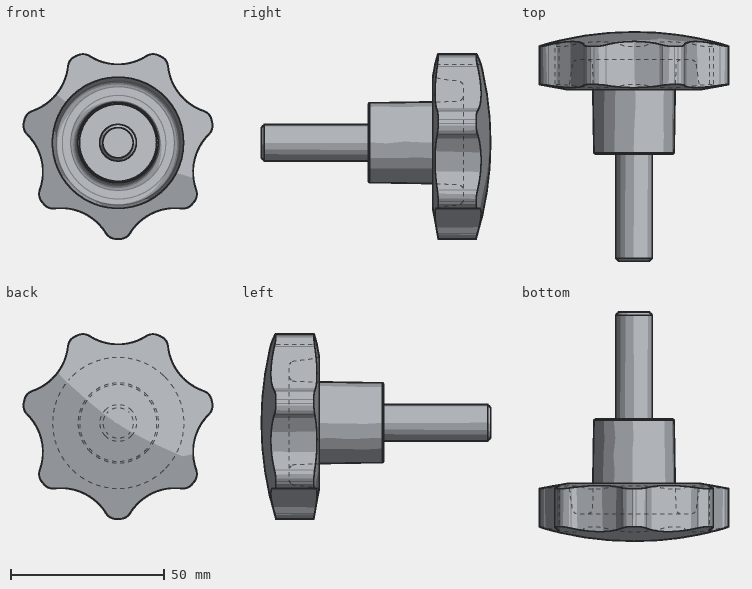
import cadquery as cq
import math

LENGTH = 75.0

LOBES = 7
HEAD_R = 31.5
HEAD_HEIGHT = 19.0
CROWN_SAG = 4.8
UNDERSIDE_RISE = 1.8

NOTCH_R = 17.25
NOTCH_FLOOR_R = 25.65
LOBE_FILLET = 4.0

RECESS_MOUTH_R = 21.45
RECESS_WALL_R = 20.0
RECESS_DEPTH = 10.0
RECESS_FILLET = 1.95

HUB_END_R = 13.1
HUB_ROOT_R = 13.65
HUB_END_DEPTH = 40.05
HUB_CHAMFER = 0.5

STUD_R = 6.0
STUD_CHAMFER = 1.05

mouth_y = LENGTH - HEAD_HEIGHT
floor_y = mouth_y + RECESS_DEPTH
hub_end_y = LENGTH - HUB_END_DEPTH
crown_rim_y = LENGTH - CROWN_SAG
under_rim_y = mouth_y + UNDERSIDE_RISE


def revolve_about_y(profile):
    return profile.close().revolve(360, (0, 0, 0), (0, 1, 0))


def make_head():
    """Domed disc with a conical underside and the annular recess."""
    crown_r = (HEAD_R**2 + CROWN_SAG**2) / (2 * CROWN_SAG)
    mid_r = HEAD_R / 2
    mid_y = LENGTH - crown_r + math.sqrt(crown_r**2 - mid_r**2)
    return revolve_about_y(
        cq.Workplane("XY")
        .moveTo(0, LENGTH)
        .threePointArc((mid_r, mid_y), (HEAD_R, crown_rim_y))
        .lineTo(HEAD_R, under_rim_y)
        .lineTo(RECESS_MOUTH_R, mouth_y)
        .lineTo(RECESS_WALL_R, floor_y)
        .lineTo(0, floor_y)
    )


def cut_notches(head):
    """Cut the notches, then round the lobe corners they leave."""
    centre_r = NOTCH_FLOOR_R + NOTCH_R
    notches = (
        cq.Workplane("XZ")
        .polarArray(centre_r, 90, 360, LOBES)
        .circle(NOTCH_R)
        .extrude(-LENGTH)
    )
    corner_edges = cq.selectors.BoxSelector(
        (-HEAD_R, under_rim_y, -HEAD_R), (HEAD_R, crown_rim_y, HEAD_R)
    )
    return head.cut(notches).edges("|Y").edges(corner_edges).fillet(LOBE_FILLET)


def make_hub():
    """Tapered hub with a chamfered end."""
    hub = revolve_about_y(
        cq.Workplane("XY")
        .moveTo(0, floor_y)
        .lineTo(HUB_ROOT_R, floor_y)
        .lineTo(HUB_END_R, hub_end_y)
        .lineTo(0, hub_end_y)
    )
    return hub.faces("<Y").chamfer(HUB_CHAMFER)


def make_stud():
    stud = cq.Workplane("XZ").workplane(offset=-hub_end_y).circle(STUD_R).extrude(hub_end_y)
    return stud.faces("<Y").chamfer(STUD_CHAMFER)


def round_recess_floor(body):
    """Round both circular edges of the recess floor."""
    edge_band = cq.selectors.BoxSelector(
        (-HEAD_R, floor_y - 0.1, -HEAD_R), (HEAD_R, floor_y + 0.1, HEAD_R)
    )
    return body.edges("%CIRCLE").edges(edge_band).fillet(RECESS_FILLET)


head = cut_notches(make_head())
result = round_recess_floor(head.union(make_hub())).union(make_stud())